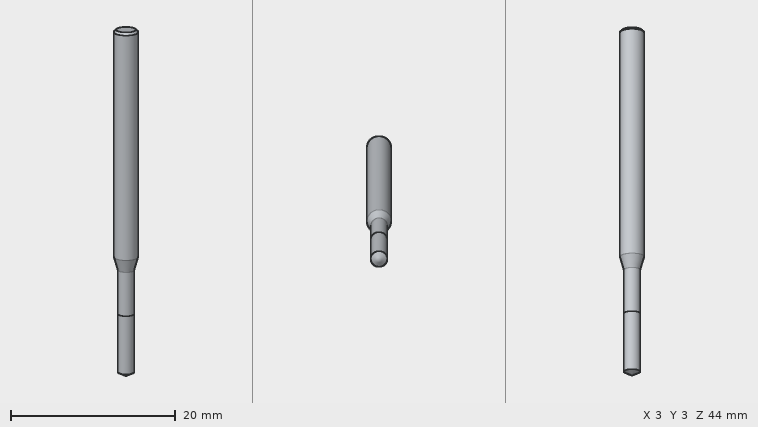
import cadquery as cq

total_length = 44.0
shank_diameter = 3.0
shank_chamfer = 0.3
shank_bottom = 15.2
neck_top = 13.5
joint_height = 7.9
cutter_diameter = 2.02
tip_height = 0.55

shank_radius = shank_diameter / 2
cutter_radius = cutter_diameter / 2
neck_radius = cutter_radius

bottom = -total_length / 2


def revolve_profile(points):
    """Turn an outline of (radius, height above the tip) points about Z."""
    outline = [(radius, bottom + height) for radius, height in points]
    return cq.Workplane("XZ").polyline(outline).close().revolve(360, (0, 0), (0, 1))


def make_shank():
    """Chamfered shank with a conical step down to the neck."""
    return revolve_profile([
        (0, joint_height),
        (neck_radius, joint_height),
        (neck_radius, neck_top),
        (shank_radius, shank_bottom),
        (shank_radius, total_length - shank_chamfer),
        (shank_radius - shank_chamfer, total_length),
        (0, total_length),
    ])


def make_cutter():
    """Cylindrical cutting end with a shallow conical point."""
    return revolve_profile([
        (0, 0),
        (cutter_radius, tip_height),
        (cutter_radius, joint_height),
        (0, joint_height),
    ])


shank = make_shank()
cutter = make_cutter()
result = cq.Compound.makeCompound([shank.val(), cutter.val()])